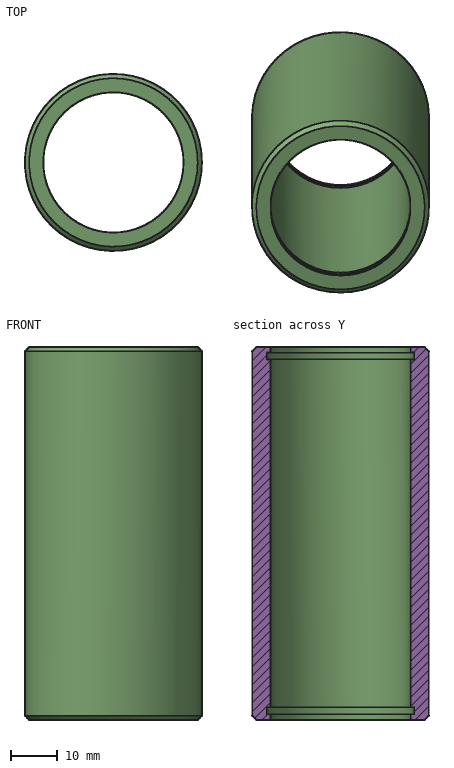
import cadquery as cq

length = 80.0
outer_diameter = 38.0
bore_diameter = 30.0
end_chamfer = 1.0

groove_offset = 1.3
groove_width = 1.4
groove_depth = 0.8


def sleeve():
    """Hollow cylinder along Z with chamfered outer rims."""
    body = cq.Workplane("XY").circle(outer_diameter / 2).extrude(length)
    body = body.faces("<Z or >Z").edges().chamfer(end_chamfer)
    bore = cq.Workplane("XY").circle(bore_diameter / 2).extrude(length)
    return body.cut(bore)


def ring_groove(bottom_z):
    """Disc that cuts one groove, starting at the given height."""
    groove_radius = bore_diameter / 2 + groove_depth
    return cq.Workplane("XY").workplane(offset=bottom_z).circle(groove_radius).extrude(groove_width)


result = sleeve()
for groove_bottom in (groove_offset, length - groove_offset - groove_width):
    result = result.cut(ring_groove(groove_bottom))